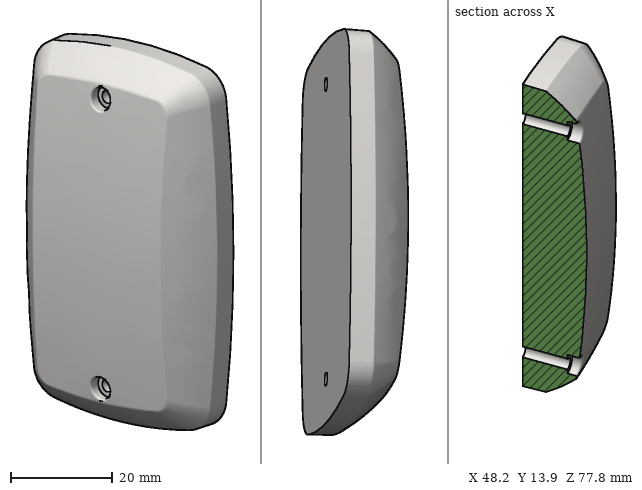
import cadquery as cq
import math

LENGTH = 77.8
WIDTH = 48.2
DEPTH = 13.85

WALL_SIDE_RADIUS = 273.0
FACE_SIDE_RADIUS = 190.5
END_ARC_RADIUS = 87.1
WALL_CORNER_RADIUS = 6.5
FACE_CORNER_RADIUS = 2.3

WALL_HEIGHT = 5.0
WALL_DRAFT_INSET = 0.15
SIDE_FLANK_INSET = 8.8
END_FLANK_INSET = 8.55
FLANK_HEIGHT = DEPTH - WALL_HEIGHT
FLANK_BULGE = 0.6
FLANK_SECTIONS = 5

DOME_RADIUS = 241.1
FACE_EDGE_FILLET = 0.9
FOOT_FILLET = 0.5

HOLE_OFFSET = 29.95
HOLE_DIAMETER = 2.65
COUNTERBORE_DIAMETER = 4.7
COUNTERBORE_DEPTH = 2.3
MOUTH_FILLET = 0.4

SELECT_MARGIN = 0.1


def blend(start, end, share):
    """Value at a share of the way from start to end."""
    return start + share * (end - start)


def flank_inset(height, full_inset):
    """Inset of the convex flank at a height above its foot, on a circular arc."""
    chord = math.hypot(full_inset, FLANK_HEIGHT)
    radius = chord**2 / (8 * FLANK_BULGE) + FLANK_BULGE / 2
    to_center = radius - FLANK_BULGE
    center_inset = full_inset / 2 + to_center * FLANK_HEIGHT / chord
    center_height = FLANK_HEIGHT / 2 - to_center * full_inset / chord
    return center_inset - math.sqrt(radius**2 - (height - center_height) ** 2)


def outline(height, side_inset, end_inset, side_radius, corner_radius):
    """Closed plan outline at a height above the back, inset at its sides and ends."""
    half_width = WIDTH / 2 - side_inset
    half_length = LENGTH / 2 - end_inset
    end_radius = END_ARC_RADIUS - end_inset
    side_center = half_width - side_radius
    end_center = half_length - end_radius

    side_reach = side_radius - corner_radius
    end_reach = end_radius - corner_radius
    span = math.hypot(side_center, end_center)
    along = (side_reach**2 - end_reach**2 + span**2) / (2 * span)
    across = math.sqrt(side_reach**2 - along**2)
    ux = -side_center / span
    uz = end_center / span
    corner_x = side_center + along * ux - across * uz
    corner_z = along * uz + across * ux

    side_angle = math.atan2(corner_z, corner_x - side_center)
    end_angle = math.atan2(corner_z - end_center, corner_x)
    middle_angle = (side_angle + end_angle) / 2

    def corner_point(angle):
        return (
            corner_x + corner_radius * math.cos(angle),
            corner_z + corner_radius * math.sin(angle),
        )

    side_x, side_z = corner_point(side_angle)
    mid_x, mid_z = corner_point(middle_angle)
    end_x, end_z = corner_point(end_angle)
    return (
        cq.Workplane("XZ", origin=(0, -height, 0))
        .moveTo(side_x, -side_z)
        .threePointArc((half_width, 0), (side_x, side_z))
        .threePointArc((mid_x, mid_z), (end_x, end_z))
        .threePointArc((0, half_length), (-end_x, end_z))
        .threePointArc((-mid_x, mid_z), (-side_x, side_z))
        .threePointArc((-half_width, 0), (-side_x, -side_z))
        .threePointArc((-mid_x, -mid_z), (-end_x, -end_z))
        .threePointArc((0, -half_length), (end_x, -end_z))
        .threePointArc((mid_x, -mid_z), (side_x, -side_z))
        .close()
    )


def wall():
    """Drafted wall from the back to the foot of the flank."""
    back = outline(0, 0, 0, WALL_SIDE_RADIUS, WALL_CORNER_RADIUS)
    foot = outline(
        WALL_HEIGHT, WALL_DRAFT_INSET, WALL_DRAFT_INSET, WALL_SIDE_RADIUS, WALL_CORNER_RADIUS
    )
    return cq.Workplane(cq.Solid.makeLoft([back.val(), foot.val()], True))


def flank():
    """Convex flank lofted through outlines of growing inset."""
    wires = []
    for index in range(FLANK_SECTIONS):
        share = index / (FLANK_SECTIONS - 1)
        height = share * FLANK_HEIGHT
        section = outline(
            WALL_HEIGHT + height,
            WALL_DRAFT_INSET + flank_inset(height, SIDE_FLANK_INSET),
            WALL_DRAFT_INSET + flank_inset(height, END_FLANK_INSET),
            blend(WALL_SIDE_RADIUS, FACE_SIDE_RADIUS, share),
            blend(WALL_CORNER_RADIUS, FACE_CORNER_RADIUS, share),
        )
        wires.append(section.val())
    return cq.Workplane(cq.Solid.makeLoft(wires))


def body():
    """Wall and flank, cut to the dome, with the two outer edge loops softened."""
    dome = cq.Workplane("XY", origin=(0, DOME_RADIUS - DEPTH, 0)).sphere(DOME_RADIUS)
    shape = wall().union(flank()).intersect(dome)
    shape = shape.faces("<Y").edges().fillet(FACE_EDGE_FILLET)
    foot_edges = cq.selectors.BoxSelector(
        (-WIDTH, -WALL_HEIGHT - SELECT_MARGIN, -LENGTH),
        (WIDTH, -WALL_HEIGHT + SELECT_MARGIN, LENGTH),
    )
    return shape.edges(foot_edges).fillet(FOOT_FILLET)


def dome_depth(z):
    """Depth of the dome surface on the centre line at height z."""
    return DEPTH - DOME_RADIUS + math.sqrt(DOME_RADIUS**2 - z**2)


def add_screw_hole(shape, z):
    """Cut a counterbored through hole and round the mouth of the counterbore."""
    surface = dome_depth(z)
    floor = surface - COUNTERBORE_DEPTH
    bore_radius = COUNTERBORE_DIAMETER / 2
    through = cq.Workplane("XZ").center(0, z).circle(HOLE_DIAMETER / 2).extrude(DEPTH)
    bore = cq.Workplane("XZ", origin=(0, -floor, z)).circle(bore_radius).extrude(DEPTH - floor)
    mouth_reach = bore_radius + SELECT_MARGIN
    mouth = cq.selectors.BoxSelector(
        (-mouth_reach, -DEPTH, z - mouth_reach),
        (mouth_reach, -floor - COUNTERBORE_DEPTH / 2, z + mouth_reach),
        boundingbox=True,
    )
    return shape.cut(through.union(bore)).edges(mouth).fillet(MOUTH_FILLET)


result = body()
for hole_z in (-HOLE_OFFSET, HOLE_OFFSET):
    result = add_screw_hole(result, hole_z)